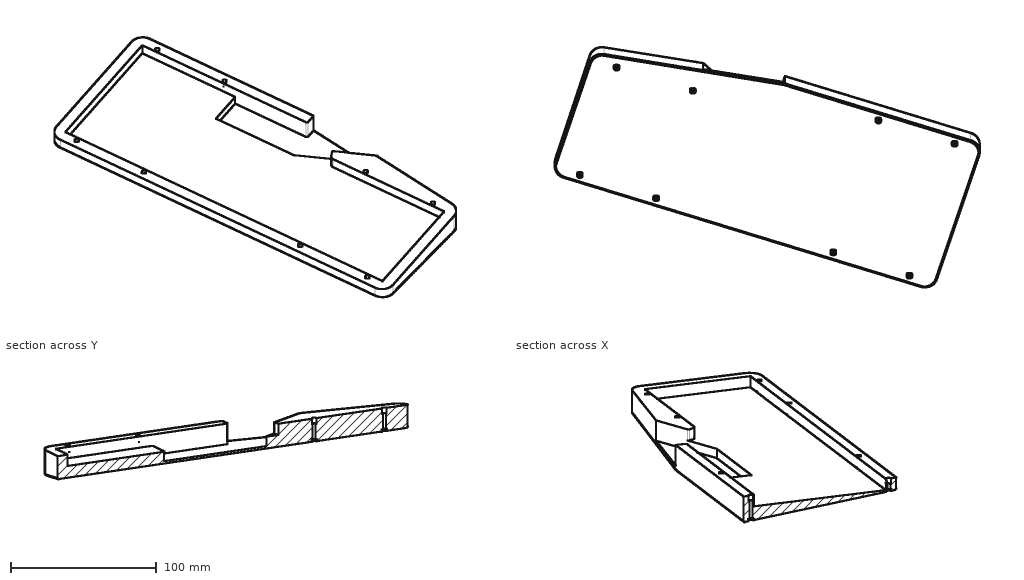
import cadquery as cq
import math

length = 275.32
depth = 113.4
height = 18.85
tilt = 5.0
corner_radius = 9.0
bottom_chamfer = 1.0
bend_x = 143.0
right_depth = 94.2

wall = 8.0
pocket_depth = 8.0
pocket_step_y = 86.2

recess_depth = 14.7
recess_left = 84.0
recess_front = 81.1
recess_corner_x = 147.6
recess_angle = 25.0
wall_end_radius = 1.0
post_cut_distance = 14.6
post_radius = 3.0

hole_diameter = 2.0
top_bore_diameter = 3.0
top_bore_depth = 4.0
bottom_bore_diameter = 4.0
bottom_bore_depth = 1.5
hole_side_margin = 18.8
hole_spacing = 55.0
front_hole_y = 5.6
left_back_hole_y = 107.7
right_back_hole_y = 88.7

slope = math.tan(math.radians(tilt))
chamfer_rise = bottom_chamfer * math.sin(math.radians(tilt))
top_z = height
back_bottom_z = -chamfer_rise
front_bottom_z = back_bottom_z + depth * slope
pocket_back = depth - wall
hole_columns = (
    hole_side_margin,
    hole_side_margin + hole_spacing,
    length - hole_side_margin - hole_spacing,
    length - hole_side_margin,
)
diagonal = math.tan(math.radians(recess_angle))
diagonal_cos = math.cos(math.radians(recess_angle))
diagonal_sin = math.sin(math.radians(recess_angle))
overrun = 10.0


def underside_z(y):
    """Height of the sloping underside at a given depth."""
    return front_bottom_z - y * slope


def diagonal_x(y):
    """X position of the diagonal side of the recess at a given depth."""
    return recess_corner_x + (y - recess_front) / diagonal


def make_body():
    outline = [
        (0, 0),
        (length, 0),
        (length, right_depth),
        (bend_x, depth),
        (0, depth),
    ]
    block = (
        cq.Workplane("XY", origin=(0, 0, back_bottom_z))
        .polyline(outline)
        .close()
        .extrude(top_z - back_bottom_z)
    )
    for x, y in ((0, 0), (length, 0), (length, right_depth), (0, depth)):
        corner = cq.selectors.NearestToPointSelector((x, y, top_z / 2))
        block = block.edges(corner).fillet(corner_radius)
    wedge = (
        cq.Workplane("YZ")
        .polyline(
            [
                (-overrun, underside_z(-overrun)),
                (depth + overrun, underside_z(depth + overrun)),
                (-overrun, underside_z(depth + overrun)),
            ]
        )
        .close()
        .extrude(length)
    )
    return block.cut(wedge).faces("<Z").chamfer(bottom_chamfer)


def make_pocket():
    """Pocket cutter, reaching out through the gap in the back wall."""
    right = length - wall
    gap_y = depth + overrun
    crossing_x = diagonal_x(pocket_step_y)
    post_front_x = crossing_x + post_cut_distance / diagonal_cos
    post_tip_x = crossing_x + post_cut_distance * diagonal_cos
    post_tip_y = pocket_step_y + post_cut_distance * diagonal_sin
    outline = [
        (wall, wall),
        (right, wall),
        (right, pocket_step_y),
        (post_front_x, pocket_step_y),
        (post_tip_x, post_tip_y),
        (diagonal_x(gap_y), gap_y),
        (bend_x, gap_y),
        (bend_x, pocket_back),
        (wall, pocket_back),
    ]
    pocket = (
        cq.Workplane("XY", origin=(0, 0, top_z - pocket_depth))
        .polyline(outline)
        .close()
        .extrude(pocket_depth)
    )
    rounded_corners = (
        (bend_x, pocket_back, wall_end_radius),
        (post_tip_x, post_tip_y, wall_end_radius),
        (post_front_x, pocket_step_y, post_radius),
    )
    for x, y, radius in rounded_corners:
        corner = cq.selectors.NearestToPointSelector((x, y, top_z - pocket_depth / 2))
        pocket = pocket.edges(corner).fillet(radius)
    return pocket


def make_recess():
    """Recess cutter, from its own floor up to the pocket floor."""
    gap_y = depth + overrun
    outline = [
        (recess_left, recess_front),
        (recess_corner_x, recess_front),
        (diagonal_x(gap_y), gap_y),
        (bend_x, gap_y),
        (bend_x, pocket_back),
        (recess_left, pocket_back),
    ]
    recess = (
        cq.Workplane("XY", origin=(0, 0, top_z - recess_depth))
        .polyline(outline)
        .close()
        .extrude(recess_depth - pocket_depth)
    )
    corner = cq.selectors.NearestToPointSelector((bend_x, pocket_back, top_z - recess_depth))
    return recess.edges("|Z").edges(corner).fillet(wall_end_radius)


def make_screw_hole(x, y):
    """Through hole with a wider bore at the top and at the underside."""
    bottom = underside_z(y)

    def bore(diameter, low, high):
        return cq.Workplane("XY", origin=(x, y, low)).circle(diameter / 2).extrude(high - low)

    hole = bore(hole_diameter, bottom - overrun, top_z)
    hole = hole.union(bore(top_bore_diameter, top_z - top_bore_depth, top_z))
    return hole.union(bore(bottom_bore_diameter, bottom - overrun, bottom + bottom_bore_depth))


result = make_body().cut(make_pocket()).cut(make_recess())
for x in hole_columns:
    back_hole_y = left_back_hole_y if x < bend_x else right_back_hole_y
    for y in (front_hole_y, back_hole_y):
        result = result.cut(make_screw_hole(x, y))